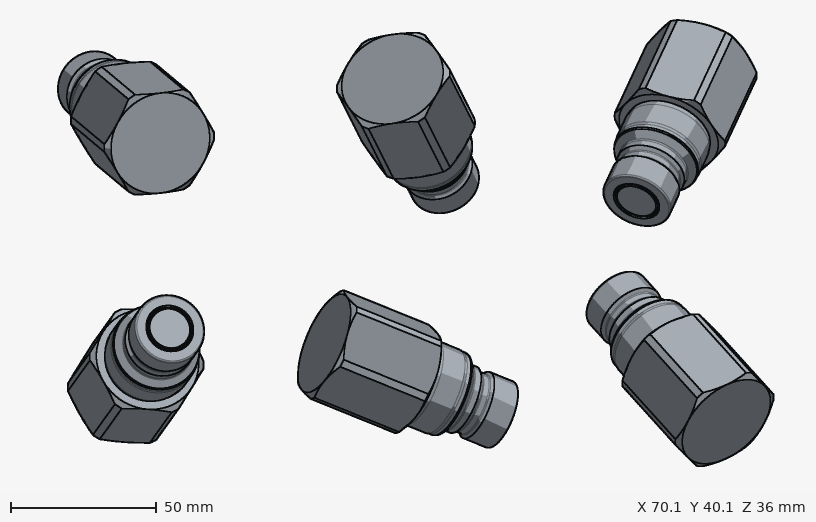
import cadquery as cq
import math

length = 70.1
hex_start = 34.1
hex_sides = 6
across_flats = 36.0
across_corners = 40.1
hex_chamfer_angle = 30.0

nose_radius = 12.3
neck_radius = 11.1
shoulder_radius = 15.0
land_radius = 15.3
body_radius = 15.5
body_end_radius = 15.1

nose_end = 9.7
neck_start = 10.95
neck_end = 13.5
collar_start = 14.9
collar_end = 17.75
shoulder_start = 20.1
land_start = 20.75
land_end = 22.3
body_start = 23.35
body_end = 31.9

nose_tip_blend = 0.6
neck_blend = 0.7
shoulder_blend = 0.85

pick_margin = 0.1

groove_outer_radius = 8.35
groove_floor_outer_radius = 7.85
groove_floor_inner_radius = 7.5
valve_radius = 7.1
groove_depth = 0.4


def revolve_about_x(points):
    """Revolve an (x, radius) outline around the X axis."""
    outline = cq.Workplane("XY").polyline(points).close()
    return outline.revolve(360, (0, 0, 0), (1, 0, 0))


def turned_plug():
    plug = revolve_about_x([
        (0, 0),
        (0, nose_radius),
        (nose_end, nose_radius),
        (neck_start, neck_radius),
        (neck_end, neck_radius),
        (collar_start, nose_radius),
        (collar_end, nose_radius),
        (shoulder_start, shoulder_radius),
        (land_start, land_radius),
        (land_end, land_radius),
        (body_start, body_radius),
        (body_end, body_radius),
        (hex_start, body_end_radius),
        (hex_start, 0),
    ])
    plug = plug.faces("<X").edges().fillet(nose_tip_blend)
    neck_edges = cq.selectors.BoxSelector(
        (neck_start - pick_margin, -nose_radius, -nose_radius),
        (neck_end + pick_margin, nose_radius, nose_radius),
    )
    plug = plug.edges("%CIRCLE").edges(neck_edges).fillet(neck_blend)
    shoulder_edges = cq.selectors.BoxSelector(
        (collar_end - pick_margin, -nose_radius, -nose_radius),
        (collar_end + pick_margin, nose_radius, nose_radius),
    )
    return plug.edges("%CIRCLE").edges(shoulder_edges).fillet(shoulder_blend)


def hex_body():
    hex_length = length - hex_start
    hexagon_diameter = across_flats / math.cos(math.pi / hex_sides)
    prism = (
        cq.Workplane("YZ", origin=(hex_start, 0, 0))
        .polygon(hex_sides, hexagon_diameter)
        .extrude(hex_length)
    )
    flat_radius = across_flats / 2
    corner_radius = across_corners / 2
    chamfer_length = (corner_radius - flat_radius) * math.tan(math.radians(hex_chamfer_angle))
    envelope = revolve_about_x([
        (hex_start, 0),
        (hex_start, flat_radius),
        (hex_start + chamfer_length, corner_radius),
        (length - chamfer_length, corner_radius),
        (length, flat_radius),
        (length, 0),
    ])
    return prism.intersect(envelope)


def valve_groove():
    return revolve_about_x([
        (0, valve_radius),
        (groove_depth, groove_floor_inner_radius),
        (groove_depth, groove_floor_outer_radius),
        (0, groove_outer_radius),
    ])


result = turned_plug().union(hex_body()).cut(valve_groove())